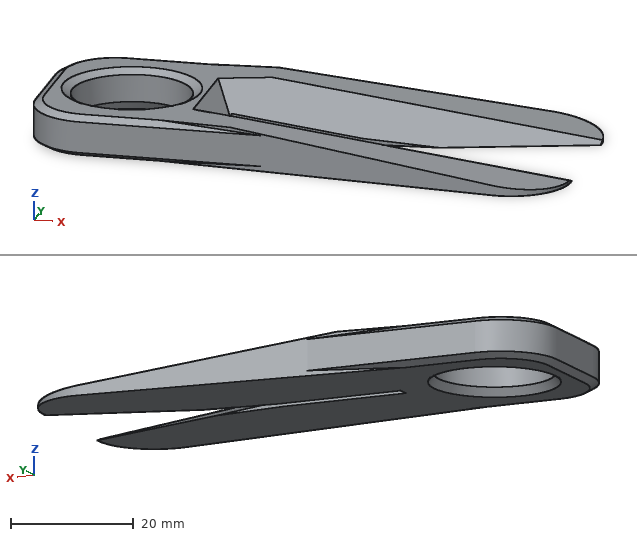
import cadquery as cq
import math

thickness = 7.0
length = 90.83
back_x = -14.5
tip_x = back_x + length
width = 41.03
half_span = width / 2

body_width = 34.0
body_corner_radius = 10.0
body_end_x = 27.0
hole_radius = 10.0
chamfer_width = 1.5
chamfer_angle = 30.0
chamfer_height = chamfer_width * math.tan(math.radians(chamfer_angle))

outer_flare_angle = 5.0
flare_root_x = 9.0
tip_radius = 10.0

slot_half_width = 1.0
slot_start_x = 16.5
slot_flare_x = 38.5
slot_flare_slope = 0.098

crease_y = 11.1
crease_start_x = 20.9
tip_crease_height = 0.5
crease_slope = (thickness - tip_crease_height) / (tip_x - crease_start_x)
outer_side_slope = 0.0065
inner_side_slope = 0.388

ramp_top_x = 12.4
ramp_angle = 42.5

clearance = 5.0


def body_layer(bottom, top, taper):
    """Slice of the ring body that narrows by the taper angle going away from its bottom."""
    outline = (
        cq.Sketch()
        .rect(body_end_x - back_x, body_width)
        .vertices("<X")
        .fillet(body_corner_radius)
        .moved(cq.Location(cq.Vector((back_x + body_end_x) / 2, 0, 0)))
    )
    layer_plane = cq.Workplane("XY", origin=(0, 0, bottom))
    return layer_plane.placeSketch(outline).extrude(top - bottom, taper=taper)


def make_body():
    """Ring body with a chamfer around its top and bottom; the blades enclose its square end."""
    straight_top = thickness - chamfer_height
    straight_part = body_layer(chamfer_height, straight_top, 0)
    top_chamfer = body_layer(straight_top, thickness, 90 - chamfer_angle)
    bottom_chamfer = top_chamfer.mirror("XY", (0, 0, thickness / 2))
    return straight_part.union(top_chamfer).union(bottom_chamfer)


def make_blade():
    """Full-height blade on the +Y side, with its outer tip corner rounded."""
    flare = math.radians(outer_flare_angle)
    arc_center_x = tip_x - tip_radius
    arc_center_y = half_span - tip_radius
    arc_start_x = arc_center_x - tip_radius * math.sin(flare)
    arc_start_y = arc_center_y + tip_radius * math.cos(flare)
    flare_root_y = arc_start_y - (arc_start_x - flare_root_x) * math.tan(flare)
    arc_mid_angle = (math.pi / 2 + flare) / 2
    arc_mid = (
        arc_center_x + tip_radius * math.cos(arc_mid_angle),
        arc_center_y + tip_radius * math.sin(arc_mid_angle),
    )
    slot_tip_y = slot_half_width + (tip_x - slot_flare_x) * slot_flare_slope
    return (
        cq.Workplane("XY")
        .moveTo(flare_root_x, slot_half_width)
        .lineTo(slot_flare_x, slot_half_width)
        .lineTo(tip_x, slot_tip_y)
        .lineTo(tip_x, arc_center_y)
        .threePointArc(arc_mid, (arc_start_x, arc_start_y))
        .lineTo(flare_root_x, flare_root_y)
        .close()
        .extrude(thickness)
    )


def space_above(slope_x, slope_y):
    """Large block above the plane through the crease start that rises by the given slopes."""
    size = 4 * (tip_x - back_x)
    plane = cq.Plane(
        origin=(crease_start_x, crease_y, thickness),
        xDir=(1, 0, slope_x),
        normal=(-slope_x, -slope_y, 1),
    )
    return cq.Workplane(plane).box(size, size, size, centered=(True, True, False))


def make_outer_slope_cut():
    """Material above the gentle slope outboard of the crease."""
    outboard = cq.Workplane("XY").box(
        tip_x - back_x, half_span, thickness + clearance, centered=False
    )
    outboard = outboard.translate((crease_start_x - clearance, crease_y, 0))
    return outboard.intersect(space_above(-crease_slope, -outer_side_slope))


def make_inner_slope_cut():
    """Material above the inner slope on the +Y side, on the tip side of the ramp."""
    ramp_run = thickness / math.tan(math.radians(ramp_angle))
    beyond_ramp = (
        cq.Workplane("XZ")
        .moveTo(ramp_top_x, thickness)
        .lineTo(ramp_top_x + ramp_run, 0)
        .lineTo(tip_x + clearance, 0)
        .lineTo(tip_x + clearance, thickness)
        .close()
        .extrude(-crease_y)
    )
    return beyond_ramp.intersect(space_above(-crease_slope, inner_side_slope))


def make_slot():
    return (
        cq.Workplane("XY")
        .box(tip_x - slot_start_x, 2 * slot_half_width, thickness, centered=(False, True, False))
        .translate((slot_start_x, 0, 0))
    )


def make_hole():
    """Through hole with a chamfer at each end: shallow and wide on top, deep and narrow below."""
    return (
        cq.Workplane("XZ")
        .lineTo(hole_radius + chamfer_height, 0)
        .lineTo(hole_radius, chamfer_width)
        .lineTo(hole_radius, thickness - chamfer_height)
        .lineTo(hole_radius + chamfer_width, thickness)
        .lineTo(0, thickness)
        .close()
        .revolve(360, (0, 0, 0), (0, 1, 0))
    )


def with_mirror(shape):
    return shape.union(shape.mirror("XZ"))


result = make_body().union(with_mirror(make_blade()))
result = result.cut(with_mirror(make_outer_slope_cut()))
result = result.cut(with_mirror(make_inner_slope_cut()))
result = result.cut(make_slot())
result = result.cut(make_hole())